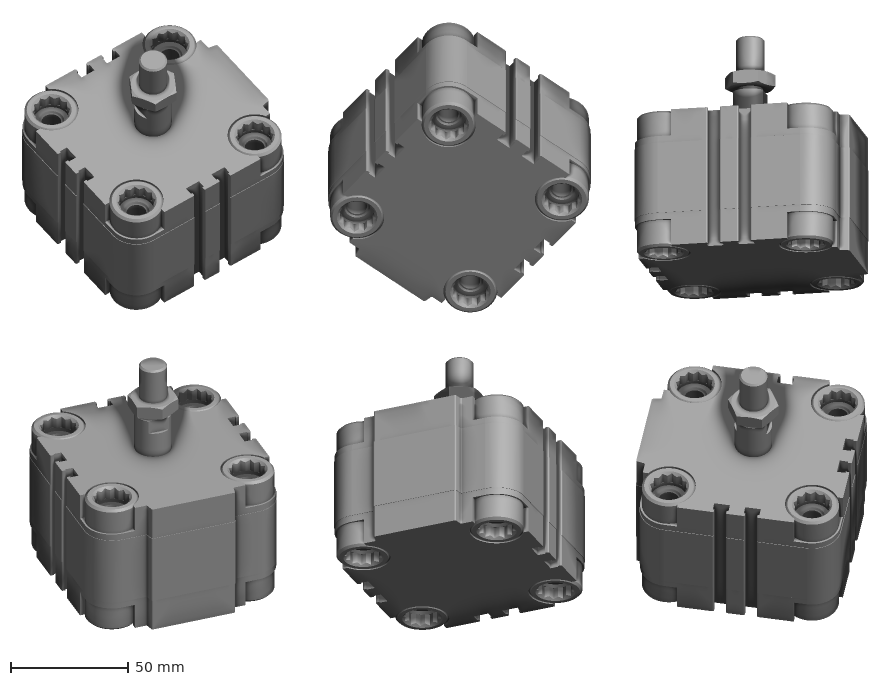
import cadquery as cq
import math

barrel_half = 43.5
cap_inset = 0.2
housing_height = 60
cap_height = 14.5
barrel_height = housing_height - 2 * cap_height
corner_spacing = 62
corner_offset = corner_spacing / 2

pad_face = 47.5
pad_top_half_width = 19.2
pad_root_half_width = 20.0
pad_edge_radius = 0.7

slot_offset = 6.7
slot_floor = 38.0
slot_lip = 41.6
slot_half_width = 3.4
mouth_half_width = 2.65
mouth_radius = 0.6
slot_overrun = 1

boss_diameter = 23
boss_chamfer = 1.0
relief_depth = 11.5
relief_edge = corner_offset - boss_diameter / 4

socket_points = 12
socket_width = 14
socket_depth = 5.75
countersink_diameter = 17.2
countersink_slope = math.radians(45)
recess_diameter = 15.4
recess_depth = 7.5
thread_mouth_diameter = 11.0
thread_mouth_floor_diameter = 9.7
thread_hole_diameter = 8.38

rod_top = 101.5
rod_diameter = 16
stud_diameter = 12
neck_diameter = 10.47
stud_chamfer = (stud_diameter - neck_diameter) / 2
stud_length = 22
neck_length = 2
shoulder_z = rod_top - stud_length - neck_length
flat_length = 6
flat_width = 13

nut_width = 19
nut_height = 6
nut_z = rod_top - stud_length
nut_sides = 6
nut_corner_diameter = nut_width / math.cos(math.pi / nut_sides)
nut_face_diameter = 18.7
nut_chamfer_slope = math.radians(20)


def slot_cutter(face, height):
    """T-slot through a section's -Y face, with rounded mouth edges."""
    outside = face + slot_overrun
    flare = mouth_half_width + mouth_radius
    round_end = face - mouth_radius
    arc_shift = mouth_radius * (1 - math.sqrt(0.5))
    arc_middle = (mouth_half_width + arc_shift, -(face - arc_shift))
    return (
        cq.Workplane("XY")
        .moveTo(-slot_half_width, -slot_floor)
        .lineTo(slot_half_width, -slot_floor)
        .lineTo(slot_half_width, -slot_lip)
        .lineTo(mouth_half_width, -slot_lip)
        .lineTo(mouth_half_width, -round_end)
        .threePointArc(arc_middle, (flare, -face))
        .lineTo(flare, -outside)
        .lineTo(-flare, -outside)
        .lineTo(-flare, -face)
        .threePointArc((-arc_middle[0], arc_middle[1]), (-mouth_half_width, -round_end))
        .lineTo(-mouth_half_width, -slot_lip)
        .lineTo(-slot_half_width, -slot_lip)
        .close()
        .extrude(height)
    )


def housing_section(inset, height):
    """One length of the housing profile, its outer faces set back by inset."""
    face = barrel_half - inset
    pad_outer = pad_face - inset
    block = (
        cq.Workplane("XY")
        .rect(2 * face, 2 * face)
        .extrude(height)
        .edges("|Z")
        .fillet(face - corner_offset)
    )
    pad = (
        cq.Workplane("XY")
        .polyline([
            (-pad_root_half_width + inset, 0),
            (-pad_root_half_width + inset, face),
            (-pad_top_half_width + inset, pad_outer),
            (pad_top_half_width - inset, pad_outer),
            (pad_root_half_width - inset, face),
            (pad_root_half_width - inset, 0),
        ])
        .close()
        .extrude(height)
        .edges("|Z and >Y")
        .fillet(pad_edge_radius)
    )
    section = block.union(pad)
    for side in (-1, 1):
        root_point = (side * (pad_root_half_width - inset), face, height / 2)
        root = cq.selectors.NearestToPointSelector(root_point)
        section = section.edges("|Z").edges(root).fillet(pad_edge_radius)
    slot = slot_cutter(face, height)
    for angle in (-90, 0, 90):
        for side in (-1, 1):
            placed = slot.translate((side * slot_offset, 0, 0)).rotate((0, 0, 0), (0, 0, 1), angle)
            section = section.cut(placed)
    return section


def corner_relief():
    """Square corner cut at the lower end that leaves one boss standing, with a V-groove round its rim."""
    relief_size = pad_face - relief_edge
    corner = (
        cq.Workplane("XY")
        .rect(relief_size, relief_size, centered=False)
        .extrude(relief_depth)
        .translate((relief_edge, relief_edge, 0))
    )
    boss = (
        cq.Workplane("XY")
        .circle(boss_diameter / 2)
        .extrude(relief_depth)
        .faces("<Z")
        .chamfer(boss_chamfer)
        .translate((corner_offset, corner_offset, 0))
    )
    groove = (
        cq.Workplane("XY")
        .center(corner_offset, corner_offset)
        .circle(boss_diameter / 2)
        .extrude(boss_chamfer)
    )
    return corner.union(groove).cut(boss)


def socket_cutter():
    """Twelve-point socket rising from the lower end, with its countersink and thread mouth."""
    tip_radius = socket_width / 2 / math.cos(2 * math.pi / socket_points)
    root_radius = socket_width / 2 / math.cos(math.pi / socket_points)
    star_points = []
    for i in range(2 * socket_points):
        radius = tip_radius if i % 2 == 0 else root_radius
        angle = math.pi * i / socket_points
        star_points.append((radius * math.cos(angle), radius * math.sin(angle)))
    star = cq.Workplane("XY").polyline(star_points).close().extrude(socket_depth)

    countersink_radius = countersink_diameter / 2
    countersink_apex = countersink_radius * math.tan(countersink_slope)
    thread_mouth_radius = thread_mouth_diameter / 2
    floor_radius = thread_mouth_floor_diameter / 2
    thread_mouth_floor = recess_depth + thread_mouth_radius - floor_radius
    countersink = (
        cq.Workplane("XZ")
        .polyline([(0, 0), (countersink_radius, 0), (0, countersink_apex)])
        .close()
        .revolve(360, (0, 0, 0), (0, 1, 0))
    )
    recess = (
        cq.Workplane("XZ")
        .polyline([
            (0, socket_depth),
            (recess_diameter / 2, socket_depth),
            (recess_diameter / 2, recess_depth),
            (thread_mouth_radius, recess_depth),
            (floor_radius, thread_mouth_floor),
            (0, thread_mouth_floor),
        ])
        .close()
        .revolve(360, (0, 0, 0), (0, 1, 0))
    )
    return star.union(countersink).union(recess).translate((corner_offset, corner_offset, 0))


def make_housing():
    lower_cap = housing_section(cap_inset, cap_height)
    barrel = housing_section(0, barrel_height).translate((0, 0, cap_height))
    upper_cap = lower_cap.translate((0, 0, cap_height + barrel_height))
    housing = lower_cap.union(barrel).union(upper_cap).clean()

    lower_cut = corner_relief().union(socket_cutter())
    upper_cut = lower_cut.mirror("XY").translate((0, 0, housing_height))
    for cutter in (lower_cut, upper_cut):
        for angle in (0, 90, 180, 270):
            housing = housing.cut(cutter.rotate((0, 0, 0), (0, 0, 1), angle))

    thread_holes = (
        cq.Workplane("XY")
        .rect(corner_spacing, corner_spacing, forConstruction=True)
        .vertices()
        .circle(thread_hole_diameter / 2)
        .extrude(housing_height)
    )
    return housing.cut(thread_holes)


def make_rod():
    shaft = (
        cq.Workplane("XY")
        .workplane(offset=housing_height)
        .circle(rod_diameter / 2)
        .extrude(shoulder_z - housing_height)
    )
    flats = (
        cq.Workplane("XY")
        .workplane(offset=shoulder_z - flat_length)
        .rect(2 * rod_diameter, 2 * rod_diameter)
        .rect(2 * rod_diameter, flat_width)
        .extrude(flat_length)
    )
    neck = (
        cq.Workplane("XY")
        .workplane(offset=shoulder_z)
        .circle(neck_diameter / 2)
        .extrude(neck_length)
    )
    stud = (
        cq.Workplane("XY")
        .workplane(offset=nut_z)
        .circle(stud_diameter / 2)
        .extrude(stud_length)
        .faces(">Z")
        .chamfer(stud_chamfer)
    )
    return shaft.cut(flats).union(neck).union(stud)


def make_nut():
    corner_radius = nut_corner_diameter / 2
    face_radius = nut_face_diameter / 2
    drop = (corner_radius - face_radius) * math.tan(nut_chamfer_slope)
    hexagon = (
        cq.Workplane("XY")
        .polygon(nut_sides, nut_corner_diameter)
        .extrude(nut_height)
        .rotate((0, 0, 0), (0, 0, 1), 180 / nut_sides)
    )
    chamfered_disc = (
        cq.Workplane("XZ")
        .polyline([
            (0, 0),
            (face_radius, 0),
            (corner_radius, drop),
            (corner_radius, nut_height - drop),
            (face_radius, nut_height),
            (0, nut_height),
        ])
        .close()
        .revolve(360, (0, 0, 0), (0, 1, 0))
    )
    bore = cq.Workplane("XY").circle(stud_diameter / 2).extrude(nut_height)
    return hexagon.intersect(chamfered_disc).cut(bore).translate((0, 0, nut_z))


housing = make_housing()
rod = make_rod()
nut = make_nut()

result = cq.Compound.makeCompound([
    housing.solids().val(),
    rod.solids().val(),
    nut.solids().val(),
])